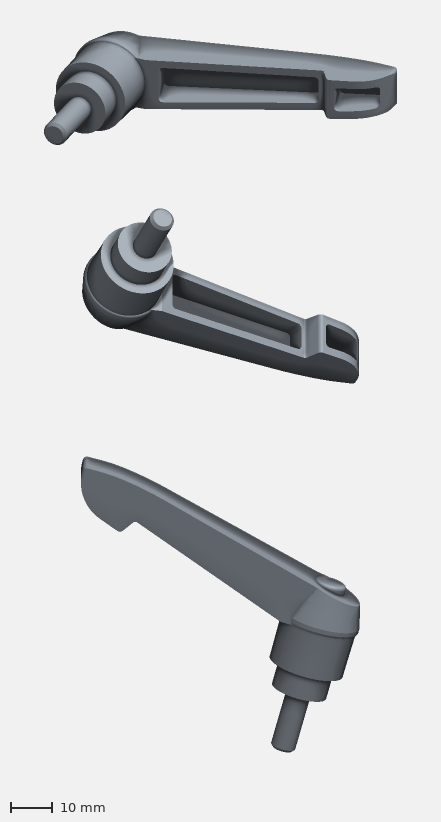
import cadquery as cq
import math


stud_radius = 6.0 / 2
stud_length = 15.0
stud_chamfer = 0.7
collar_radius = 13.5 / 2
collar_length = 6.35
socket_bottom_radius = 9.1
socket_top_radius = 9.3

hub_radius = 19.49 / 2
hub_bottom = 17.4
rim_fillet = 0.7
rim_top = 19.05
cone_half_angle = 14.3
hub_blank_top = 32.0

head_radius = 4.0
head_top = 28.4
head_fillet = 0.9

top_angle = 15.0
bottom_angle = 20.0
top_at_axis = 27.1
arm_end_x = 65.0
arm_top = 41.55
crown_start_x = 43.8
crown_radius = 95.0
crown_middle_angle = 8.3
tip_fillet = 1.0
root_x = 9.4
notch_x = 49.6
notch_lean = 55.5
hook_x = 52.25
nose_start_x = 57.8
notch_fillet = 0.8
hook_fillet = 1.1

half_width_at_axis = 6.94
side_taper = 1.85
end_edge_fillet = 0.8

pocket_roof = 2.95
pocket_corner = 1.0
long_pocket_start = 9.75
long_pocket_end = 48.0
long_pocket_wall = 1.95
hook_pocket_start = 52.4
hook_pocket_end = 63.1
hook_pocket_wall = 2.1
pocket_cut_length = 15.0

sin_bottom = math.sin(math.radians(bottom_angle))
cos_bottom = math.cos(math.radians(bottom_angle))
tan_bottom = math.tan(math.radians(bottom_angle))
sin_top = math.sin(math.radians(top_angle))
cos_top = math.cos(math.radians(top_angle))
sin_crown = math.sin(math.radians(crown_middle_angle))
cos_crown = math.cos(math.radians(crown_middle_angle))
tan_top = math.tan(math.radians(top_angle))


def half_width(x):
    """Half thickness of the arm at a distance x from the stud axis."""
    return half_width_at_axis - x * math.tan(math.radians(side_taper))


def top_line(x):
    """Height of the sloped top plane shared by the hub and the arm."""
    return top_at_axis + x * tan_top


def make_stud_and_socket():
    return (
        cq.Workplane("XY")
        .moveTo(0, -stud_length)
        .lineTo(stud_radius - stud_chamfer, -stud_length)
        .lineTo(stud_radius, -stud_length + stud_chamfer)
        .lineTo(stud_radius, 0)
        .lineTo(collar_radius, 0)
        .lineTo(collar_radius, collar_length)
        .lineTo(socket_bottom_radius, collar_length)
        .lineTo(socket_top_radius, rim_top)
        .lineTo(0, rim_top)
        .close()
        .revolve(360, (0, 0, 0), (0, 1, 0))
    )


def make_hub():
    cone_top_radius = hub_radius - (hub_blank_top - rim_top) * math.tan(math.radians(cone_half_angle))
    blank = (
        cq.Workplane("XY")
        .moveTo(0, hub_bottom)
        .lineTo(hub_radius - rim_fillet, hub_bottom)
        .tangentArcPoint((hub_radius, hub_bottom + rim_fillet), relative=False)
        .lineTo(hub_radius, rim_top)
        .lineTo(cone_top_radius, hub_blank_top)
        .lineTo(0, hub_blank_top)
        .close()
        .revolve(360, (0, 0, 0), (0, 1, 0))
    )
    return blank.cut(make_top_trim())


def make_top_trim():
    """Block above the sloped top plane, used to cut the cone off."""
    reach = 2 * hub_radius
    ceiling = hub_blank_top + reach
    return (
        cq.Workplane("XY")
        .moveTo(-reach, top_line(-reach))
        .lineTo(reach, top_line(reach))
        .lineTo(reach, ceiling)
        .lineTo(-reach, ceiling)
        .close()
        .extrude(reach, both=True)
    )


def make_screw_head():
    return (
        cq.Workplane("XY")
        .moveTo(0, hub_bottom)
        .lineTo(head_radius, hub_bottom)
        .lineTo(head_radius, head_top - head_fillet)
        .tangentArcPoint((head_radius - head_fillet, head_top), relative=False)
        .lineTo(0, head_top)
        .close()
        .revolve(360, (0, 0, 0), (0, 1, 0))
    )


def make_arm():
    crown_start_y = top_line(crown_start_x)
    crown_middle_x = crown_start_x + crown_radius * (sin_top - sin_crown)
    crown_middle_y = crown_start_y + crown_radius * (cos_crown - cos_top)
    level_radius = (arm_top - crown_middle_y) / (1 - cos_crown)
    crown_end_x = crown_middle_x + level_radius * sin_crown

    notch_y = hub_bottom + (notch_x - root_x) * tan_bottom
    hook_y = notch_y - (hook_x - notch_x) * math.tan(math.radians(notch_lean))
    nose_start_y = hook_y + (nose_start_x - hook_x) * tan_bottom

    nose_radius = (arm_end_x - nose_start_x) / (1 - sin_bottom)
    nose_end_y = nose_start_y + nose_radius * cos_bottom

    profile = (
        cq.Workplane("XY")
        .moveTo(0, hub_bottom)
        .lineTo(root_x, hub_bottom)
        .lineTo(notch_x, notch_y)
        .lineTo(hook_x, hook_y)
        .lineTo(nose_start_x, nose_start_y)
        .tangentArcPoint((arm_end_x, nose_end_y), relative=False)
        .lineTo(arm_end_x, arm_top - tip_fillet)
        .tangentArcPoint((arm_end_x - tip_fillet, arm_top), relative=False)
        .lineTo(crown_end_x, arm_top)
        .tangentArcPoint((crown_middle_x, crown_middle_y), relative=False)
        .tangentArcPoint((crown_start_x, crown_start_y), relative=False)
        .lineTo(0, top_at_axis)
        .close()
        .extrude(half_width_at_axis, both=True)
    )
    rounded_corners = (
        (notch_x, notch_y, notch_fillet),
        (hook_x, hook_y, hook_fillet),
    )
    for corner_x, corner_y, radius in rounded_corners:
        corner = cq.selectors.NearestToPointSelector((corner_x, corner_y, 0))
        profile = profile.edges(corner).fillet(radius)

    plan = (
        cq.Workplane("XZ")
        .moveTo(0, half_width(0))
        .lineTo(arm_end_x, half_width(arm_end_x))
        .lineTo(arm_end_x, -half_width(arm_end_x))
        .lineTo(0, -half_width(0))
        .close()
        .extrude(-arm_top)
        .edges("|Y and >X")
        .fillet(end_edge_fillet)
    )
    return profile.intersect(plan)


def make_pocket(start, end, wall):
    """Cutter for a tapered pocket, from its floor out through the underside."""
    start_half = half_width(start) - wall
    end_half = half_width(end) - wall
    return (
        cq.Workplane("XZ", origin=(0, -pocket_roof, 0))
        .moveTo(start, -start_half)
        .lineTo(end, -end_half)
        .lineTo(end, end_half)
        .lineTo(start, start_half)
        .close()
        .extrude(pocket_cut_length)
        .edges("|Y")
        .fillet(pocket_corner)
        .rotate((0, 0, 0), (0, 0, 1), top_angle)
        .translate((0, top_at_axis, 0))
    )


arm = make_arm()
arm = arm.cut(make_pocket(long_pocket_start, long_pocket_end, long_pocket_wall))
arm = arm.cut(make_pocket(hook_pocket_start, hook_pocket_end, hook_pocket_wall))

result = make_stud_and_socket().union(make_hub()).union(arm).union(make_screw_head())